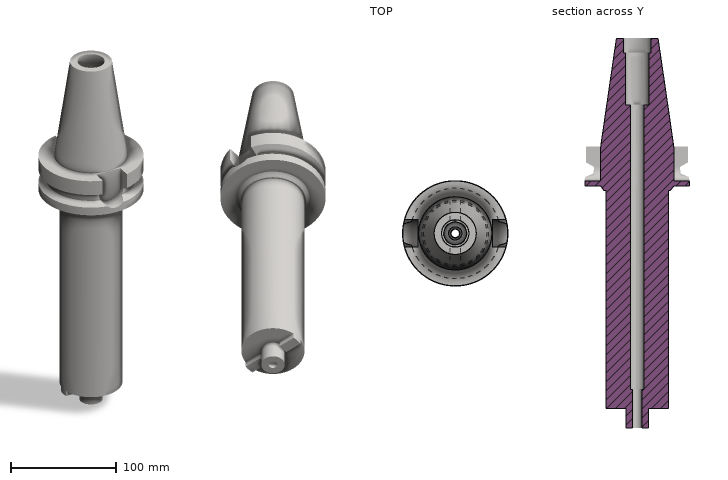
import cadquery as cq

total_length = 369.8
taper_length = 102.8
pilot_length = 19.0
pilot_bottom = 0
body_bottom = pilot_bottom + pilot_length
taper_top = total_length
collar_top = taper_top - taper_length

taper_top_radius = 20.0
taper_base_radius = 34.8
neck_length = 1.0

collar_radius = 50.0
upper_rim_depth = 15.0
groove_top_depth = 19.2
groove_bottom_depth = 25.5
lower_rim_depth = 29.0
collar_bottom_depth = 37.5
shoulder_bottom_depth = 41.8
groove_radius = 43.0
shoulder_top_radius = 34.8
shoulder_bottom_radius = 31.5

body_radius = 30.0
pilot_radius = 11.0
key_width = 10.0
key_height = 5.5
key_inner_offset = 12.2

slot_width = 26.0
slot_depth = 32.0
slot_floor_offset = 35.0

entry_radius = 13.0
entry_depth = 13.5
thread_radius = 10.7
thread_depth = 63.0
screw_radius = 6.3
screw_depth = 333.0
coolant_radius = 4.0


def make_turned_body():
    """Revolve the outer profile, given as (radius, height), about Z."""
    profile = [
        (0, pilot_bottom),
        (pilot_radius, pilot_bottom),
        (pilot_radius, body_bottom),
        (body_radius, body_bottom),
        (body_radius, collar_top - shoulder_bottom_depth),
        (shoulder_bottom_radius, collar_top - shoulder_bottom_depth),
        (shoulder_top_radius, collar_top - collar_bottom_depth),
        (collar_radius, collar_top - collar_bottom_depth),
        (collar_radius, collar_top - lower_rim_depth),
        (groove_radius, collar_top - groove_bottom_depth),
        (groove_radius, collar_top - groove_top_depth),
        (collar_radius, collar_top - upper_rim_depth),
        (collar_radius, collar_top),
        (taper_base_radius, collar_top),
        (taper_base_radius, collar_top + neck_length),
        (taper_top_radius, taper_top),
        (0, taper_top),
    ]
    return cq.Workplane("XZ").polyline(profile).close().revolve(360, (0, 0), (0, 1))


def make_driving_slot(side):
    """Cutter for one slot, open upward and outward; side is +1 or -1 along X."""
    half_width = slot_width / 2
    arc_center = collar_top - slot_depth + half_width
    return (
        cq.Workplane("YZ", origin=(side * slot_floor_offset, 0, 0))
        .moveTo(-half_width, collar_top)
        .lineTo(-half_width, arc_center)
        .threePointArc((0, collar_top - slot_depth), (half_width, arc_center))
        .lineTo(half_width, collar_top)
        .close()
        .extrude(side * collar_radius)
    )


def make_drive_keys():
    """Two keys on the body's lower face along Y, trimmed to the body's round outline."""
    keys = (
        cq.Workplane("XY", origin=(0, 0, body_bottom))
        .circle(body_radius)
        .extrude(-key_height)
    )
    across_keys = cq.Workplane("XY", origin=(0, 0, body_bottom)).rect(key_width, 2 * body_radius)
    center_gap = cq.Workplane("XY", origin=(0, 0, body_bottom)).rect(key_width, 2 * key_inner_offset)
    return keys.intersect(across_keys.extrude(-key_height)).cut(center_gap.extrude(-key_height))


def make_bore_step(radius, depth):
    """Cylinder reaching the given depth below the top of the taper."""
    return cq.Workplane("XY", origin=(0, 0, taper_top)).circle(radius).extrude(-depth)


result = make_turned_body().union(make_drive_keys())
for slot_side in (-1, 1):
    result = result.cut(make_driving_slot(slot_side))
for step_radius, step_depth in (
    (entry_radius, entry_depth),
    (thread_radius, thread_depth),
    (screw_radius, screw_depth),
    (coolant_radius, total_length),
):
    result = result.cut(make_bore_step(step_radius, step_depth))